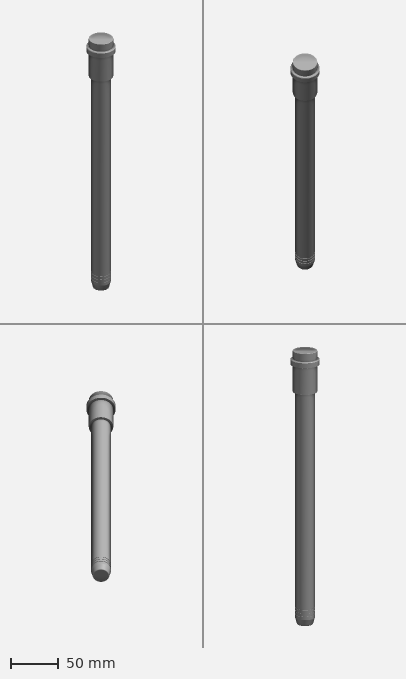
import cadquery as cq
import math

length = 300.0
shaft_diameter = 20.7
shaft_radius = shaft_diameter / 2

head_radius = 13.0
head_length = 45.0
head_edge_chamfer = 0.3
collar_diameter = 31.0
collar_radius = collar_diameter / 2
collar_top = length - 9.0
collar_thickness = 6.0
collar_chamfer = 0.5

relief_width = 1.0
relief_depth = 0.3

taper_length = 7.2
taper_angle = 15.0
tip_edge_radius = 1.0

groove_width = 1.2
groove_depth = 0.45
groove_pitch = 3.5
lowest_groove_height = 11.5
groove_count = 3


def disc(radius, bottom, height):
    """Cylinder on the Z axis, starting at the given height."""
    return cq.Workplane("XY").workplane(offset=bottom).circle(radius).extrude(height)


def make_shaft():
    """Straight shaft with a conical tip that has a rounded end edge."""
    tip_radius = shaft_radius - taper_length * math.tan(math.radians(taper_angle))
    half_profile = (
        cq.Workplane("XZ")
        .moveTo(0, 0)
        .lineTo(tip_radius, 0)
        .lineTo(shaft_radius, taper_length)
        .lineTo(shaft_radius, length - head_length)
        .lineTo(0, length - head_length)
        .close()
    )
    shaft = half_profile.revolve(360, (0, 0, 0), (0, 1, 0))
    return shaft.faces("<Z").edges().fillet(tip_edge_radius)


def make_head():
    """Head cylinder and the wider collar, each chamfered on its upper edge."""
    head = disc(head_radius, length - head_length, head_length)
    head = head.faces(">Z").edges().chamfer(head_edge_chamfer)
    collar = disc(collar_radius, collar_top - collar_thickness, collar_thickness)
    collar = collar.faces(">Z").edges().chamfer(collar_chamfer)
    return head.union(collar)


def make_groove(radius, bottom, width, depth):
    """Ring of material to remove around a cylinder of the given radius."""
    return disc(radius, bottom, width).cut(disc(radius - depth, bottom, width))


result = make_shaft().union(make_head())

collar_bottom = collar_top - collar_thickness
head_bottom = length - head_length
result = result.cut(make_groove(head_radius, collar_top, relief_width, relief_depth))
result = result.cut(make_groove(head_radius, collar_bottom - relief_width, relief_width, relief_depth))
result = result.cut(make_groove(shaft_radius, head_bottom - relief_width, relief_width, relief_depth))

for index in range(groove_count):
    center_height = lowest_groove_height + index * groove_pitch
    groove_bottom = center_height - groove_width / 2
    result = result.cut(make_groove(shaft_radius, groove_bottom, groove_width, groove_depth))